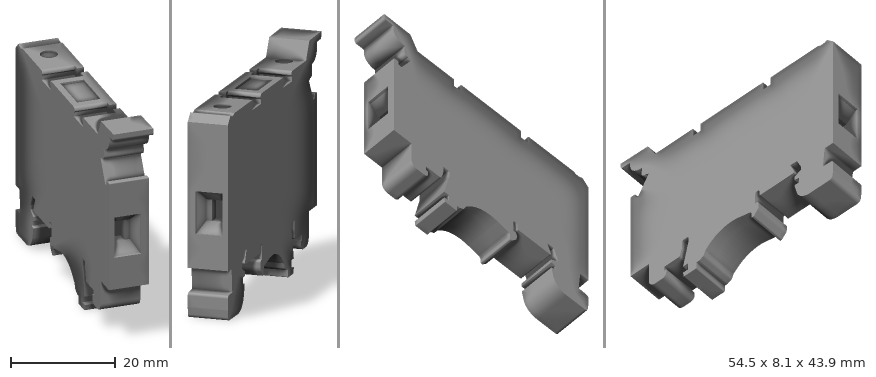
import cadquery as cq
import math


length = 54.5
thickness = 8.1
height = 43.85

body_length = 51.95
body_middle = body_length / 2
top_z = 40.2

slot_offset = 9.0
slot_floor_z = 38.2
slot_back_wall = 1.45
slot_gap_half = 1.0
slot_base_half = 2.5
lip_tip_half = 2.05
lip_radius = 0.7
lip_bottom_z = 39.1

recess_depth = 0.5
screw_diameter = 3.5
screw_offset = 18.0
screw_y = 3.85
label_length = 9.45
label_width = 4.8
label_y = 3.7

entry_rim_depth = 0.6
entry_funnel_depth = 2.3
entry_hole_depth = 2.2
entry_side_y = 1.1
entry_mouth_y = 6.55
entry_throat_y = 5.3
entry_hole_y = 4.2
entry_mouth_z = (16.75, 25.2)
entry_throat_z = (18.8, 23.0)

left_end = [
    (0, 9.9, 0),
    (0, 38.75, 0),
    (1.5, top_z, 0),
    (1.75, top_z, 0),
    (2.8, 39.55, 1.9),
    (3.9, top_z, 0),
]
lever = [
    (45.6, top_z, 0),
    (47.5, 43.7, 0),
    (length, height, 0),
    (length, 42.4, 0.55),
    (52.05, 42.4, 0.2),
    (52.05, 38.75, 2.7),
    (49.0, 38.75, 0),
    (49.2, 35.95, 0.8),
    (48.05, 36.2, 0),
    (47.3, 35.8, 0),
]
right_end = [
    (49.9, 31.4, 0),
    (50.7, 31.6, 0.25),
    (50.7, 32.5, 0.2),
    (body_length, 32.5, 0.2),
    (body_length, 10.1, 0),
]
right_foot = [
    (47.2, 10.1, 0),
    (47.2, 3.45, 1.65),
    (42.8, 3.45, 1.1),
    (42.8, 5.35, 0),
    (43.35, 5.35, 0),
    (43.35, 6.45, 0),
    (39.35, 6.45, 0.55),
    (38.75, 8.45, 2.2),
    (38.75, 10.45, 0.25),
    (37.1, 10.45, 0.25),
    (37.1, 8.95, 0),
]
rail_arch = [
    (38.5, 2.95, 0),
    (37.2, 2.95, 0),
    (37.2, 1.25, 0),
    (38.5, 1.25, 0.1),
    (38.3, 0, 0.15),
    (35.05, 0, 0.2),
    (35.05, 1.65, 0),
    (34.35, 1.65, 0),
    (33.25, 2.2, 0.65),
    (32.75, 3.4, 0),
    (28.55, 7.45, 8.05),
    (20.95, 5.65, 0.65),
    (20.95, 4.0, 0.2),
    (20.4, 4.0, 0.15),
    (19.15, 5.4, 1.35),
    (19.15, 7.35, 0.55),
    (20.0, 7.35, 0),
    (20.0, 10.45, 0.5),
    (18.9, 10.45, 0.55),
    (18.9, 8.8, 0.3),
]
left_foot = [
    (9.8, 8.8, 0.3),
    (10.95, 11.55, 0),
    (9.25, 11.55, 0),
    (8.3, 9.25, 0),
    (8.3, 8.35, 0),
    (9.9, 7.45, 0),
    (9.9, 6.6, 0),
    (8.8, 6.45, 0),
    (8.85, 5.1, 0),
    (9.9, 5.1, 0.15),
    (8.7, 0, 3.55),
    (0.25, 0, 0.8),
    (0, 2.2, 0),
    (0, 4.95, 0.55),
    (2.6, 5.1, 0),
    (2.2, 9.9, 0.3),
]


def toward(start, end, distance):
    """Point at the given distance from start on the way to end."""
    fraction = distance / math.dist(start, end)
    return tuple(a + (b - a) * fraction for a, b in zip(start, end))


def rounded_outline(corners):
    """Closed XZ outline through the corners, each rounded to its own radius."""
    path = None
    for index, (x, z, radius) in enumerate(corners):
        corner = (x, z)
        before = corners[index - 1][:2]
        after = corners[(index + 1) % len(corners)][:2]
        if path is None:
            path = cq.Workplane("XZ").moveTo(*corner)
        elif radius == 0:
            path = path.lineTo(*corner)
        else:
            ray_in = math.atan2(before[1] - z, before[0] - x)
            ray_out = math.atan2(after[1] - z, after[0] - x)
            half_angle = abs(math.remainder(ray_out - ray_in, math.tau)) / 2
            tangent = radius / math.tan(half_angle)
            arc_start = toward(corner, before, tangent)
            arc_end = toward(corner, after, tangent)
            chord_middle = toward(arc_start, arc_end, math.dist(arc_start, arc_end) / 2)
            arc_middle = toward(corner, chord_middle, radius / math.sin(half_angle) - radius)
            path = path.lineTo(*arc_start).threePointArc(arc_middle, arc_end)
    return path.close()


def body():
    corners = left_end + lever + right_end + right_foot + rail_arch + left_foot
    return rounded_outline(corners).extrude(-thickness)


def marker_slot(center_x):
    """Undercut slot with rounded lips, plus a narrow gap through the back wall."""
    lip_tip_z = top_z - lip_radius
    lip_root_half = lip_tip_half + lip_radius
    lip_middle_half = lip_root_half - lip_radius * math.sqrt(0.5)
    lip_middle_z = lip_tip_z + lip_radius * math.sqrt(0.5)
    undercut = (
        cq.Workplane("XZ")
        .moveTo(center_x - lip_root_half, top_z)
        .threePointArc((center_x - lip_middle_half, lip_middle_z), (center_x - lip_tip_half, lip_tip_z))
        .lineTo(center_x - slot_base_half, lip_bottom_z)
        .lineTo(center_x - slot_base_half, slot_floor_z)
        .lineTo(center_x + slot_base_half, slot_floor_z)
        .lineTo(center_x + slot_base_half, lip_bottom_z)
        .lineTo(center_x + lip_tip_half, lip_tip_z)
        .threePointArc((center_x + lip_middle_half, lip_middle_z), (center_x + lip_root_half, top_z))
        .close()
        .extrude(-(thickness - slot_back_wall))
    )
    gap = cq.Workplane("XY").box(
        2 * slot_gap_half, thickness, top_z - slot_floor_z, centered=(True, False, False)
    )
    return undercut.union(gap.translate((center_x, 0, slot_floor_z)))


def screw_recess(center_x):
    return (
        cq.Workplane("XY", origin=(center_x, screw_y, top_z - recess_depth))
        .circle(screw_diameter / 2)
        .extrude(recess_depth)
    )


def label_recess():
    return (
        cq.Workplane("XY", origin=(body_middle, label_y, top_z - recess_depth))
        .rect(label_length, label_width)
        .extrude(recess_depth)
    )


def entry_section(x, far_y, z_range):
    """Rectangle across X, from the common flat side of the entry to far_y."""
    low, high = z_range
    center = (x, (entry_side_y + far_y) / 2, (low + high) / 2)
    return cq.Workplane("YZ", origin=center).rect(far_y - entry_side_y, high - low)


def wire_entry():
    """Straight rim, three-sided funnel and a narrower hole, entering at X = 0."""
    throat_x = entry_rim_depth + entry_funnel_depth
    rim = entry_section(0, entry_mouth_y, entry_mouth_z).extrude(entry_rim_depth)
    mouth = entry_section(entry_rim_depth, entry_mouth_y, entry_mouth_z).wires().val()
    throat = entry_section(throat_x, entry_throat_y, entry_throat_z).wires().val()
    funnel = cq.Workplane(cq.Solid.makeLoft([mouth, throat], True))
    hole = entry_section(throat_x, entry_hole_y, entry_throat_z).extrude(entry_hole_depth)
    return rim.union(funnel).union(hole)


result = body().cut(label_recess())
for side in (-1, 1):
    result = result.cut(marker_slot(body_middle + side * slot_offset))
    result = result.cut(screw_recess(body_middle + side * screw_offset))

left_entry = wire_entry()
right_entry = left_entry.mirror("YZ").translate((body_length, 0, 0))
result = result.cut(left_entry).cut(right_entry)